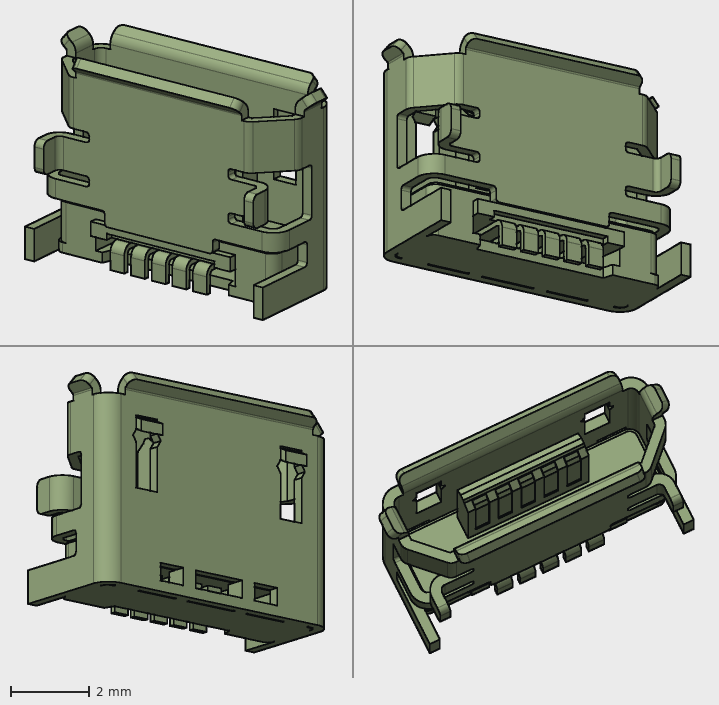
import cadquery as cq
import math

sheet = 0.29
shell_width = 7.5
shell_depth = 2.48
shell_height = 5.0
half_width = shell_width / 2
inner_back = shell_depth - sheet
corner_radius = 0.5
inner_radius = corner_radius - sheet
outer_bevel = 0.935
inner_bevel = 0.74
bevel_radius = 0.3
punch_radius = 0.1

side_window_bottom = 2.11
side_window_top = 3.6
side_window_depth = 1.49
side_window_inner_x = 3.0
slot_height = 0.285
slot_end_x = 2.19
apron_bottom = 1.15
apron_half_width = 1.7
strip_bottom = 1.57
foot_window_depth = 1.285
apron_corner_radius = 0.09
spring_window_x = (2.04, 2.74)
spring_window_z = (2.6, 4.52)
notch_depth = 0.11
notch_bottom = 3.8
notch_top = 4.15
flap_root_y = 2.36
flap_slope = 0.45
flap_reach = 0.205
flap_top = 4.46
flap_height = 0.31

flare_angle = math.radians(50)
flare_radius = 0.06
flare_overhang = 0.25
flare_top = 5.6
flare_tip_radius = 0.2
front_flange_width = 5.23
back_flange_width = 6.23
side_flange_width = 0.76
side_flange_y = 1.55

foot_reach = 0.64
foot_height = 0.89
tab_outer_x = 3.45
tab_bend_radius = 0.15
tab_tip_radius = 0.18

housing_half_width = 3.44
housing_front = 0.3
housing_back = 2.14
housing_top = 1.49
housing_radius = 0.3
housing_chamfer = 0.085
base_height = 0.286
cavity_top = 0.755
cavity_front_x = 2.2
cavity_left_back_x = -2.16
cavity_right_back_x = 1.955
vent_half_width = 1.935
base_gap_front_x = 1.99
base_gap_back_x = 1.9
base_plate_front = 0.6
post_x = (0.765, 1.18)
corner_lug_x = (2.39, 3.2)
bar_half_width = 2.2
bar_front = 0.083
recess_top = 0.93

tongue_half_width = 1.715
tongue_front = 1.297
tongue_back = 1.92
tongue_top = 4.24
tongue_back_bevel_depth = 0.19
tongue_back_bevel_height = 0.15
tongue_flat_front = 1.575
tongue_lip_y = 1.52
tongue_lip_z = 4.14
tongue_nose_z = 3.96
contact_count = 5
contact_pitch = 0.65
contact_thickness = 0.15
tail_width = 0.44
blade_width = 0.39
blade_front = 1.33
blade_knee_y = 1.41
blade_nose_z = 3.75
blade_knee_z = 3.93
blade_top = 4.04
slot_bottom = 2.0
tail_bend_radius = 0.26

contact_centers = [contact_pitch * (index - (contact_count - 1) / 2) for index in range(contact_count)]
overlap = 0.1


def span_box(x_range, y_range, z_range):
    """Box between two limits on each axis."""
    size = [high - low for low, high in (x_range, y_range, z_range)]
    return cq.Workplane("XY").box(*size, centered=False).translate((x_range[0], y_range[0], z_range[0]))


def both_sides(solid):
    """A right-hand solid together with its mirror image across x = 0."""
    return solid.union(solid.mirror("YZ"))


def rounded_block(half_x, front, back, radius, bottom, top):
    """Block centred on x = 0 with its four upright edges rounded."""
    block = span_box((-half_x, half_x), (front, back), (bottom, top))
    return block.edges("|Z").fillet(radius)


def beveled_block(inset, bevel, bottom, top):
    """Mouth section of the shell, drawn in from its outside by an inset."""
    half_x = half_width - inset
    back = shell_depth - inset
    outline = [
        (-half_x, back),
        (half_x, back),
        (half_x, inset + bevel),
        (half_x - bevel, inset),
        (bevel - half_x, inset),
        (-half_x, inset + bevel),
    ]
    block = cq.Workplane("XY").workplane(offset=bottom).polyline(outline).close().extrude(top - bottom)
    return block.edges("|Z and >Y").fillet(corner_radius - inset)


def make_shell_wall():
    lower = rounded_block(half_width, 0, shell_depth, corner_radius, 0, side_window_top)
    lower_core = rounded_block(half_width - sheet, sheet, inner_back, inner_radius, 0, side_window_top)
    upper = beveled_block(0, outer_bevel, side_window_top, shell_height)
    bevel_zone = ((-shell_width, -overlap, side_window_top), (shell_width, shell_depth / 2, shell_height))
    upper = upper.edges(cq.selectors.BoxSelector(*bevel_zone)).edges("|Z").fillet(bevel_radius)
    upper_core = beveled_block(sheet, inner_bevel, side_window_top, shell_height)
    return lower.cut(lower_core).union(upper.cut(upper_core))


def side_opening(inner_x, depth, bottom, top):
    """Cutter for an opening through a right-hand side wall and front corner."""
    cutter = span_box((inner_x, half_width + overlap), (-overlap, depth), (bottom, top))
    return cutter.edges("|X and >Y").fillet(punch_radius)


def make_spring_window():
    """Cutter for a back-wall window with a notch in each side."""
    left, right = spring_window_x
    bottom, top = spring_window_z
    notch_middle = (notch_bottom + notch_top) / 2
    outline = [
        (left, bottom),
        (right, bottom),
        (right, notch_bottom),
        (right + notch_depth, notch_middle),
        (right, notch_top),
        (right, top),
        (left, top),
        (left, notch_top),
        (left - notch_depth, notch_middle),
        (left, notch_bottom),
    ]
    window = cq.Workplane("XZ").workplane(offset=-shell_depth - overlap).polyline(outline).close()
    return window.extrude(sheet + 2 * overlap)


def make_side_openings():
    """Side windows, tab slots and foot windows on the right-hand side."""
    openings = side_opening(side_window_inner_x, side_window_depth, side_window_bottom, side_window_top)
    for bottom in (side_window_bottom, side_window_top - slot_height):
        slot = span_box((slot_end_x, half_width), (-overlap, sheet), (bottom, bottom + slot_height))
        openings = openings.union(slot.edges("|Y and <X").fillet(punch_radius))
    return openings.union(side_opening(side_window_inner_x, foot_window_depth, foot_height, strip_bottom))


def make_front_trim():
    """Right half of the space below the front wall, stepped around the apron."""
    outer_x = half_width + overlap
    trim_y = (-overlap, corner_radius)
    below_strip = span_box((apron_half_width, outer_x), trim_y, (-overlap, strip_bottom))
    below_strip = below_strip.edges("|Y and <X and >Z").fillet(punch_radius)
    trim = below_strip.union(span_box((0, outer_x), trim_y, (-overlap, apron_bottom)))
    apron_corner = cq.selectors.BoxSelector(
        (apron_half_width - overlap, -overlap, apron_bottom - overlap),
        (apron_half_width + overlap, corner_radius, apron_bottom + overlap),
    )
    return trim.edges("|Y").edges(apron_corner).fillet(apron_corner_radius)


def make_vent():
    """Right half of the low back-wall vent, with its post left standing."""
    vent_y = (inner_back, shell_depth + overlap)
    vent_z = (base_height, cavity_top)
    vent = span_box((0, vent_half_width), vent_y, vent_z)
    return vent.cut(span_box(post_x, vent_y, vent_z))


def make_shell_openings():
    openings = make_side_openings().union(make_front_trim()).union(make_spring_window()).union(make_vent())
    return both_sides(openings)


def make_flange(width):
    """Flange on top of a front wall, flared toward -Y, centred on x = 0."""
    sine = math.sin(flare_angle)
    cosine = math.cos(flare_angle)
    outer_radius = flare_radius + sheet
    flare_length = (flare_overhang - flare_radius * (1 - cosine)) / sine
    bend_z = flare_top - outer_radius * sine - flare_length * cosine

    def on_bend(radius, angle):
        return (radius * math.cos(angle) - flare_radius, bend_z + radius * math.sin(angle))

    def at_tip(radius):
        y, z = on_bend(radius, flare_angle)
        return (y - flare_length * sine, z + flare_length * cosine)

    profile = (
        cq.Workplane("YZ")
        .moveTo(0, shell_height)
        .lineTo(0, bend_z)
        .threePointArc(on_bend(flare_radius, flare_angle / 2), on_bend(flare_radius, flare_angle))
        .lineTo(*at_tip(flare_radius))
        .lineTo(*at_tip(outer_radius))
        .lineTo(*on_bend(outer_radius, flare_angle))
        .threePointArc(on_bend(outer_radius, flare_angle / 2), on_bend(outer_radius, 0))
        .lineTo(sheet, shell_height)
        .close()
    )
    flange = profile.extrude(width / 2, both=True)
    across_tip = cq.selectors.ParallelDirSelector(cq.Vector(0, cosine, sine))
    return flange.edges(across_tip).fillet(flare_tip_radius)


def make_flanges():
    origin = (0, 0, 0)
    up = (0, 0, 1)
    front = make_flange(front_flange_width)
    back = make_flange(back_flange_width).rotate(origin, up, 180).translate((0, shell_depth, 0))
    side = make_flange(side_flange_width).rotate(origin, up, 90).translate((half_width, side_flange_y, 0))
    return front.union(back).union(both_sides(side))


def make_foot():
    foot_x = (half_width - sheet, half_width)
    return span_box(foot_x, (-foot_reach, foot_window_depth + overlap), (0, foot_height))


def make_mounting_tab():
    """Strip of the front wall bent forward between the two slots."""
    bottom = side_window_bottom + slot_height
    height = side_window_top - side_window_bottom - 2 * slot_height
    inner_x = tab_outer_x - sheet
    bend_x = inner_x - tab_bend_radius
    bend_y = -tab_bend_radius
    outer_radius = tab_bend_radius + sheet
    diagonal = math.sqrt(0.5)
    tab = (
        cq.Workplane("XY")
        .workplane(offset=bottom)
        .moveTo(slot_end_x, 0)
        .lineTo(bend_x, 0)
        .threePointArc(
            (bend_x + tab_bend_radius * diagonal, bend_y + tab_bend_radius * diagonal), (inner_x, bend_y)
        )
        .lineTo(inner_x, -foot_reach)
        .lineTo(tab_outer_x, -foot_reach)
        .lineTo(tab_outer_x, bend_y)
        .threePointArc((bend_x + outer_radius * diagonal, bend_y + outer_radius * diagonal), (bend_x, sheet))
        .lineTo(slot_end_x, sheet)
        .close()
        .extrude(height)
    )
    return tab.edges("|X and <Y").fillet(tab_tip_radius)


def make_flap():
    """Flap on the top edge of a spring window, sloping out and down from the back wall."""
    left, right = spring_window_x
    tip_y = shell_depth + flap_reach
    tip_drop = flap_reach * flap_slope
    root_rise = (shell_depth - flap_root_y) * flap_slope
    outline = [
        (tip_y, flap_top - tip_drop),
        (flap_root_y, flap_top + root_rise),
        (flap_root_y, flap_top + root_rise - flap_height),
        (tip_y, flap_top - tip_drop - flap_height),
    ]
    flap = cq.Workplane("YZ").workplane(offset=left).polyline(outline).close()
    return flap.extrude(right - left)


def make_shell():
    shell = make_shell_wall().cut(make_shell_openings()).union(make_flanges())
    for feature in (make_foot(), make_mounting_tab(), make_flap()):
        shell = shell.union(both_sides(feature))
    return shell


def make_cavity():
    """Cutter for the contact cavity, which narrows from the housing front to its back."""
    outline = [
        (-cavity_front_x, housing_front),
        (cavity_front_x, housing_front),
        (cavity_right_back_x, housing_back),
        (cavity_left_back_x, housing_back),
    ]
    plane = cq.Workplane("XY").workplane(offset=base_height)
    return plane.polyline(outline).close().extrude(cavity_top - base_height)


def make_tongue():
    root_z = housing_top - overlap
    outline = [
        (tongue_back, root_z),
        (tongue_back, tongue_top - tongue_back_bevel_height),
        (tongue_back - tongue_back_bevel_depth, tongue_top),
        (tongue_flat_front, tongue_top),
        (tongue_lip_y, tongue_lip_z),
        (tongue_front, tongue_nose_z),
        (tongue_front, root_z),
    ]
    tongue = cq.Workplane("YZ").polyline(outline).close().extrude(tongue_half_width, both=True)
    slot_y = (tongue_front - overlap, tongue_lip_y)
    for x in contact_centers:
        slot_x = (x - blade_width / 2, x + blade_width / 2)
        tongue = tongue.cut(span_box(slot_x, slot_y, (slot_bottom, tongue_top)))
    return tongue


def make_base_gap():
    """Cutter for the front gap between the two base blocks, below the contact cavity."""
    outline = [
        (-base_gap_front_x, housing_front),
        (base_gap_front_x, housing_front),
        (base_gap_back_x, base_plate_front),
        (-base_gap_back_x, base_plate_front),
    ]
    return cq.Workplane("XY").polyline(outline).close().extrude(base_height)


def make_front_bar():
    """Bar under the apron, recessed above the contact tails."""
    back = housing_front + overlap
    bar = span_box((-bar_half_width, bar_half_width), (bar_front, back), (cavity_top, apron_bottom))
    recess_x = (-apron_half_width, apron_half_width)
    return bar.cut(span_box(recess_x, (bar_front, housing_front), (cavity_top, recess_top)))


def make_back_lugs():
    """Posts and corner lugs that join the housing to the back wall of the shell."""
    lug_y = (tongue_back, inner_back)
    lug_z = (0, housing_top - housing_chamfer)
    post = span_box(post_x, lug_y, lug_z)
    return both_sides(post.union(span_box(corner_lug_x, lug_y, lug_z)))


def make_housing():
    body = rounded_block(housing_half_width, housing_front, housing_back, housing_radius, 0, housing_top)
    body = body.faces(">Z").chamfer(housing_chamfer)
    base = rounded_block(half_width - sheet, housing_front, housing_back, inner_radius, 0, base_height)
    body = body.union(base).cut(make_cavity()).cut(make_base_gap())
    return body.union(make_front_bar()).union(make_back_lugs()).union(make_tongue())


def make_contact():
    """Contact with a bent-down tail, a run under the housing and a blade up the tongue."""
    inside_radius = tail_bend_radius - contact_thickness
    run_bottom = cavity_top - contact_thickness
    bend_y = tail_bend_radius
    bend_z = cavity_top - tail_bend_radius
    diagonal = math.sqrt(0.5)

    def bend_middle(radius):
        return (bend_y - radius * diagonal, bend_z + radius * diagonal)

    tail = (
        cq.Workplane("YZ")
        .moveTo(0, 0)
        .lineTo(0, bend_z)
        .threePointArc(bend_middle(tail_bend_radius), (bend_y, cavity_top))
        .lineTo(tongue_lip_y, cavity_top)
        .lineTo(tongue_lip_y, run_bottom)
        .lineTo(bend_y, run_bottom)
        .threePointArc(bend_middle(inside_radius), (contact_thickness, bend_z))
        .lineTo(contact_thickness, 0)
        .close()
        .extrude(tail_width / 2, both=True)
    )
    blade_outline = [
        (blade_front, run_bottom),
        (blade_front, blade_nose_z),
        (blade_knee_y, blade_knee_z),
        (tongue_lip_y, blade_top),
        (tongue_lip_y, run_bottom),
    ]
    blade = cq.Workplane("YZ").polyline(blade_outline).close().extrude(blade_width / 2, both=True)
    return tail.union(blade)


def make_contacts():
    contact = make_contact()
    contacts = cq.Workplane("XY")
    for x in contact_centers:
        contacts = contacts.add(contact.translate((x, 0, 0)))
    return contacts.combine()


result = make_shell().union(make_housing()).union(make_contacts())